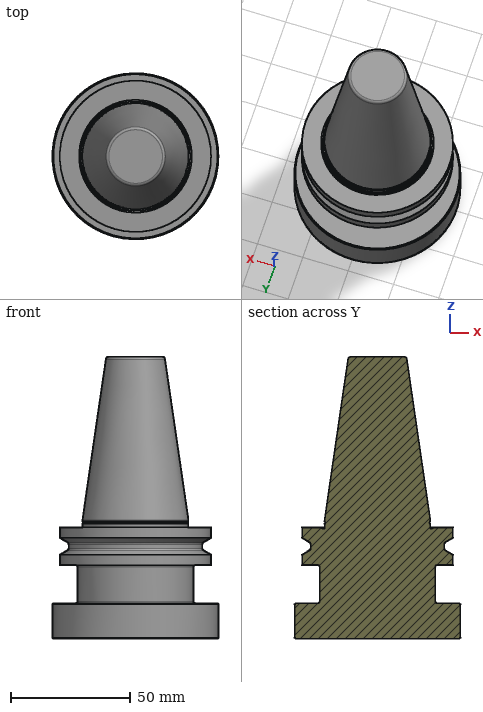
import cadquery as cq
import math

total_height = 118.4
gauge_height = 50.0
flange_top = 46.8
flange_bottom = 30.9
base_height = 15.0

base_diameter = 69.7
base_edge_chamfer = 0.5
neck_radius = 24.4
neck_fillet = 0.7

flange_radius = 31.7
groove_floor_radius = 28.1
groove_mouth_width = 7.0
groove_wall_angle = 30.0
groove_fillet = 1.0
groove_center = 38.8

gauge_radius = 22.3
taper_per_length = 7 / 24
tip_fillet = 1.2

gauge_land = 0.6
relief_height = 1.1
relief_depth = 0.4
recess_radius = 23.7
recess_floor_radius = 23.0
recess_depth = 0.4


def revolve_profile(points):
    """Revolve a closed (radius, height) outline about the Z axis."""
    return cq.Workplane("XZ").polyline(points).close().revolve(360, (0, 0, 0), (0, 1, 0))


def make_base():
    disc = cq.Workplane("XY").circle(base_diameter / 2).extrude(base_height)
    return disc.edges().chamfer(base_edge_chamfer)


def make_neck():
    """Neck with concave fillets where it meets the base and the flange."""
    foot_radius = neck_radius + neck_fillet
    inset = neck_fillet * (1 - math.sqrt(0.5))
    return (
        cq.Workplane("XZ")
        .moveTo(0, base_height)
        .lineTo(foot_radius, base_height)
        .threePointArc((neck_radius + inset, base_height + inset), (neck_radius, base_height + neck_fillet))
        .lineTo(neck_radius, flange_bottom - neck_fillet)
        .threePointArc((neck_radius + inset, flange_bottom - inset), (foot_radius, flange_bottom))
        .lineTo(0, flange_bottom)
        .close()
        .revolve(360, (0, 0, 0), (0, 1, 0))
    )


def make_flange():
    half_mouth = groove_mouth_width / 2
    wall_rise = (flange_radius - groove_floor_radius) * math.tan(math.radians(groove_wall_angle))
    half_floor = half_mouth - wall_rise
    groove = revolve_profile([
        (flange_radius, groove_center - half_mouth),
        (flange_radius, groove_center + half_mouth),
        (groove_floor_radius, groove_center + half_floor),
        (groove_floor_radius, groove_center - half_floor),
    ])
    floor_corners = cq.selectors.RadiusNthSelector(0)
    groove = groove.edges("%CIRCLE").edges(floor_corners).fillet(groove_fillet)
    recess = revolve_profile([
        (0, flange_top),
        (recess_radius, flange_top),
        (recess_floor_radius, flange_top - recess_depth),
        (0, flange_top - recess_depth),
    ])
    blank = cq.Workplane("XY").workplane(offset=flange_bottom).circle(flange_radius)
    return blank.extrude(flange_top - flange_bottom).cut(groove).cut(recess)


def make_shank():
    tip_radius = gauge_radius - (total_height - gauge_height) * taper_per_length / 2
    land_bottom = gauge_height - gauge_land
    relief_bottom = land_bottom - relief_height
    foot = flange_top - recess_depth
    shank = revolve_profile([
        (0, foot),
        (gauge_radius, foot),
        (gauge_radius, relief_bottom),
        (gauge_radius - relief_depth, relief_bottom + relief_depth),
        (gauge_radius, land_bottom),
        (gauge_radius, gauge_height),
        (tip_radius, total_height),
        (0, total_height),
    ])
    return shank.faces(">Z").edges().fillet(tip_fillet)


result = make_base().union(make_neck()).union(make_flange()).union(make_shank())